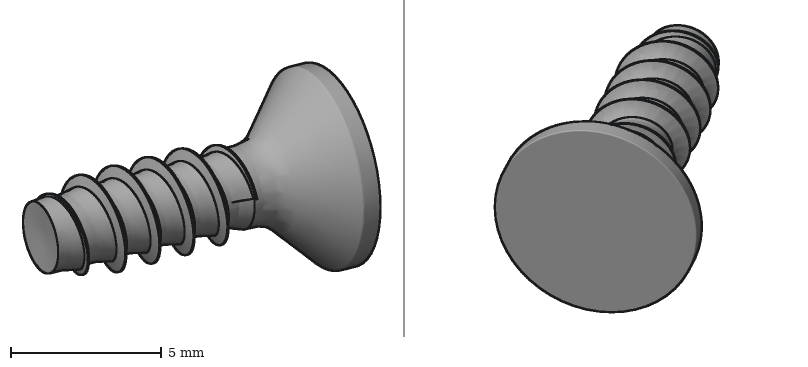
import cadquery as cq
import math


screw_length = 11.0
head_radius = 3.5
rim_height = 0.65
rim_top_round = 0.04
rim_bottom_round = 0.1

neck_radius = 1.4
neck_end_depth = 3.65
neck_fillet = 1.4
neck_taper_length = 0.5

core_radius = 1.235
pitch = 1.29
blank_length = screw_length + 2 * pitch
dish_radius = 1.14
dish_depth = 0.09

crest_radius = 1.75
crest_half_width = 0.025
shoulder_radius = 1.353
tip_flank_slope = 0.31
taper_end_offset = 0.91
flank_base_offset = -0.35
faded_base_offset = -0.07
flank_mid_share = 0.55
flank_mid_rise = 0.28
burial_step = 0.01
root_radius = core_radius - 3 * burial_step

first_crest_depth = 3.9
thread_start = -0.22
full_thread_start = 0.75
fade_out_start = 4.0
flank_fade_end = 5.25
shoulder_settled = 0.25
shoulder_fade_start = 4.75
thread_end = 5.5
start_crest_radius = 1.5
start_shoulder_radius = 1.385
buried_crest_radius = core_radius - burial_step
buried_shoulder_radius = core_radius - 2 * burial_step
sections_per_turn = 12


def round_edge(solid, radius, depth, edge_round):
    """Round the one circular edge of the given radius and depth."""
    reach = 0.01
    low = (-radius - reach, -depth - reach, -radius - reach)
    high = (radius + reach, -depth + reach, radius + reach)
    return solid.edges(cq.selectors.BoxSelector(low, high, boundingbox=True)).fillet(edge_round)


def make_body():
    """Revolve the head, neck and overlong plain core, then round the edges."""
    cone_end_depth = rim_height + head_radius - neck_radius
    outline = [
        (0, 0),
        (head_radius, 0),
        (head_radius, -rim_height),
        (neck_radius, -cone_end_depth),
        (neck_radius, -neck_end_depth),
        (core_radius, -neck_end_depth - neck_taper_length),
        (core_radius, -blank_length),
        (0, -blank_length),
    ]
    body = cq.Workplane("XY").polyline(outline).close().revolve(360, (0, 0), (0, 1))
    body = round_edge(body, head_radius, 0, rim_top_round)
    body = round_edge(body, head_radius, rim_height, rim_bottom_round)
    return round_edge(body, neck_radius, cone_end_depth, neck_fillet)


def blend(turn, first_turn, last_turn, first_value, last_value):
    """Linear change from first_value to last_value, held constant outside the range."""
    share = (turn - first_turn) / (last_turn - first_turn)
    share = min(max(share, 0), 1)
    return first_value + share * (last_value - first_value)


def thread_section(turn):
    """Closed thread profile in the half plane through the axis at the given turn."""
    if turn < full_thread_start:
        crest = blend(turn, thread_start, full_thread_start, start_crest_radius, crest_radius)
        shoulder = blend(turn, thread_start, shoulder_settled, start_shoulder_radius, shoulder_radius)
        flank_base_at = blend(turn, thread_start, full_thread_start, faded_base_offset, flank_base_offset)
    else:
        crest = blend(turn, fade_out_start, thread_end, crest_radius, buried_crest_radius)
        shoulder = blend(turn, shoulder_fade_start, thread_end, shoulder_radius, buried_shoulder_radius)
        flank_base_at = blend(turn, fade_out_start, flank_fade_end, flank_base_offset, faded_base_offset)
    shoulder_at = crest_half_width + tip_flank_slope * (crest - shoulder)
    flank_mid_radius = root_radius + flank_mid_rise * (crest - root_radius)

    angle = math.pi / 2 + 2 * math.pi * turn
    crest_depth = first_crest_depth + pitch * turn

    def place(offset, radius):
        return cq.Vector(radius * math.cos(angle), -crest_depth - offset, radius * math.sin(angle))

    flank_base = place(flank_base_at, root_radius)
    flank_mid = place(flank_mid_share * flank_base_at, flank_mid_radius)
    corners = [
        place(-crest_half_width, crest),
        place(crest_half_width, crest),
        place(shoulder_at, shoulder),
        place(taper_end_offset, root_radius),
        flank_base,
    ]
    edges = [cq.Edge.makeThreePointArc(flank_base, flank_mid, corners[0])]
    for start, end in zip(corners, corners[1:]):
        edges.append(cq.Edge.makeLine(start, end))
    return cq.Wire.assembleEdges(edges)


def make_thread():
    """Loft the thread profiles along the helix, running out past the tip plane."""
    step_count = round((thread_end - thread_start) * sections_per_turn)
    step = (thread_end - thread_start) / step_count
    sections = [thread_section(thread_start + step * i) for i in range(step_count + 1)]
    return cq.Workplane(cq.Solid.makeLoft(sections))


def make_tip_waste():
    """Everything beyond the dished tip: a cylinder with a shallow cone on top."""
    outline = [
        (0, -screw_length + dish_depth),
        (dish_radius, -screw_length),
        (head_radius, -screw_length),
        (head_radius, -2 * blank_length),
        (0, -2 * blank_length),
    ]
    return cq.Workplane("XY").polyline(outline).close().revolve(360, (0, 0), (0, 1))


result = make_body().union(make_thread()).cut(make_tip_waste())